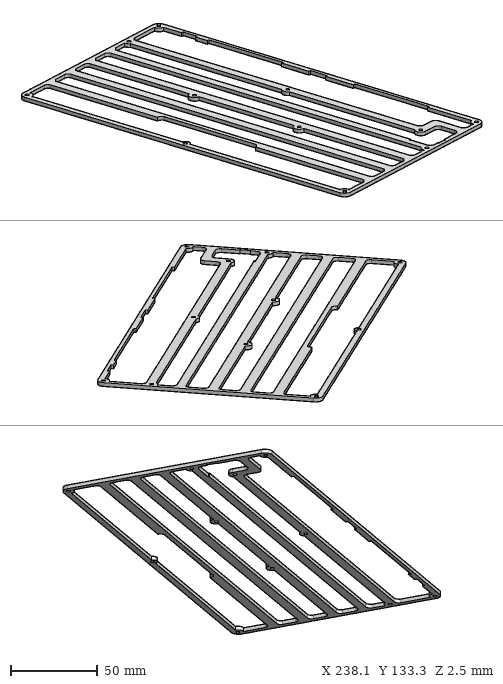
import cadquery as cq

POSITION_TOLERANCE = 0.02

LENGTH = 238.1
WIDTH = 133.3
THICKNESS = 2.5
OUTER_RADIUS = 4.5

SIDE_RAIL = 3.0
BACK_RAIL = 2.5
FRONT_RAIL = 3.8
INNER_X = LENGTH / 2 - SIDE_RAIL
WINDOW_RADIUS = 2.6
BACK_WINDOW_RADIUS = 3.0

BAR_1 = (32.5, 38.0)
BAR_2 = (14.5, 20.0)
BAR_3 = (-5.0, 1.2)
BAR_4 = (-23.8, -17.6)
BAR_5 = (-43.3, -37.1)

HOLE_DIAMETER = 2.2
BOSS_RADIUS = 3.5
SMALL_BOSS_RADIUS = 2.9
CORNER_HOLE_X = 115.5
CORNER_HOLE_Y = 63.0
FRONT_HOLE_Y = -63.5
BAR_1_HOLE_Y = 34.5
BAR_2_HOLE_Y = 15.7
BAR_3_HOLE_X = 38.0
BAR_3_HOLE_Y = -4.8
STEP_HOLE_X = 96.7

STEP_LEFT = 94.0
STEP_RIGHT = STEP_HOLE_X + BOSS_RADIUS
STEP_BACK = 51.2
STEP_FRONT = 45.7

BAR_2_RELIEF = 0.83
SIDE_RELIEF = 0.6
SIDE_RELIEF_Y = (25.7, 32.0)

BAR_5_RELIEF = 3.0
BAR_5_RELIEF_HALF = 35.5

TAB_DEPTH = 1.5
TABS = [
    (-INNER_X, -98.8),
    (-88.5, -80.0),
    (-26.2, -6.0),
    (6.0, 26.2),
    (80.0, INNER_X),
]


def block(x_ends, y_ends):
    """Full-thickness block between two X and two Y positions."""
    return (
        cq.Workplane("XY")
        .box(x_ends[1] - x_ends[0], y_ends[1] - y_ends[0], THICKNESS, centered=False)
        .translate((x_ends[0], y_ends[0], 0))
    )


def disks(centers, radius):
    """Full-thickness disks at the given centers."""
    return cq.Workplane("XY").pushPoints(centers).circle(radius).extrude(THICKNESS)


def window(marked_corners, radius):
    """Window cutter from (x, y, is_round) corners, with the round ones filleted."""
    corners = [(x, y) for x, y, _ in marked_corners]
    round_corners = [(x, y) for x, y, is_round in marked_corners if is_round]
    cutter = cq.Workplane("XY").polyline(corners).close().extrude(THICKNESS)

    def is_round_edge(edge):
        middle = edge.Center()
        return any(abs(middle.x - x) + abs(middle.y - y) < POSITION_TOLERANCE for x, y in round_corners)

    return cutter.edges("|Z").filter(is_round_edge).fillet(radius)


def plain_window(front, back):
    """Rectangular window between the side rails with round corners."""
    return block((-INNER_X, INNER_X), (front, back)).edges("|Z").fillet(WINDOW_RADIUS)


def back_window():
    back = WIDTH / 2 - BACK_RAIL
    front = BAR_1[1]
    return window([
        (-INNER_X, back, False),
        (-INNER_X, front, True),
        (STEP_LEFT, front, True),
        (STEP_LEFT, STEP_BACK, True),
        (INNER_X, STEP_BACK, True),
        (INNER_X, back, False),
    ], BACK_WINDOW_RADIUS)


def second_window():
    back = BAR_1[0]
    front = BAR_2[1]
    main = window([
        (-INNER_X, back, False),
        (-INNER_X, front, True),
        (STEP_RIGHT, front, False),
        (STEP_RIGHT, front - BAR_2_RELIEF, False),
        (INNER_X, front - BAR_2_RELIEF, True),
        (INNER_X, STEP_FRONT, True),
        (STEP_RIGHT, STEP_FRONT, True),
        (STEP_RIGHT, BAR_1_HOLE_Y, False),
        (STEP_HOLE_X, BAR_1_HOLE_Y, False),
        (STEP_HOLE_X, back, False),
    ], BACK_WINDOW_RADIUS)
    return main.union(block((STEP_RIGHT, INNER_X + SIDE_RELIEF), SIDE_RELIEF_Y))


def front_window():
    back = BAR_5[0]
    front = -WIDTH / 2 + FRONT_RAIL
    return window([
        (-INNER_X, front, False),
        (INNER_X, front, False),
        (INNER_X, back, True),
        (BAR_5_RELIEF_HALF, back, False),
        (BAR_5_RELIEF_HALF, back + BAR_5_RELIEF, True),
        (-BAR_5_RELIEF_HALF, back + BAR_5_RELIEF, True),
        (-BAR_5_RELIEF_HALF, back, False),
        (-INNER_X, back, True),
    ], WINDOW_RADIUS)


plate = (
    block((-LENGTH / 2, LENGTH / 2), (-WIDTH / 2, WIDTH / 2))
    .edges("|Z")
    .fillet(OUTER_RADIUS)
)

frame = (
    plate
    .cut(back_window())
    .cut(second_window())
    .cut(plain_window(BAR_3[1], BAR_2[0]))
    .cut(plain_window(BAR_4[1], BAR_3[0]))
    .cut(plain_window(BAR_5[1], BAR_4[0]))
    .cut(front_window())
)

tab_back = WIDTH / 2 - BACK_RAIL
for tab_ends in TABS:
    frame = frame.union(block(tab_ends, (tab_back - TAB_DEPTH, tab_back)))

boss_centers = [
    (x, y)
    for x in (-CORNER_HOLE_X, CORNER_HOLE_X)
    for y in (-CORNER_HOLE_Y, CORNER_HOLE_Y)
]
boss_centers += [(x, BAR_1_HOLE_Y) for x in (-CORNER_HOLE_X, 0, STEP_HOLE_X)]
boss_centers += [(CORNER_HOLE_X, BAR_2_HOLE_Y)]
boss_centers += [(x, BAR_3_HOLE_Y) for x in (-BAR_3_HOLE_X, BAR_3_HOLE_X)]
front_center = [(0, FRONT_HOLE_Y)]

bosses = disks(boss_centers, BOSS_RADIUS).union(disks(front_center, SMALL_BOSS_RADIUS))
holes = disks(boss_centers + front_center, HOLE_DIAMETER / 2)

result = frame.union(bosses.intersect(plate)).cut(holes)